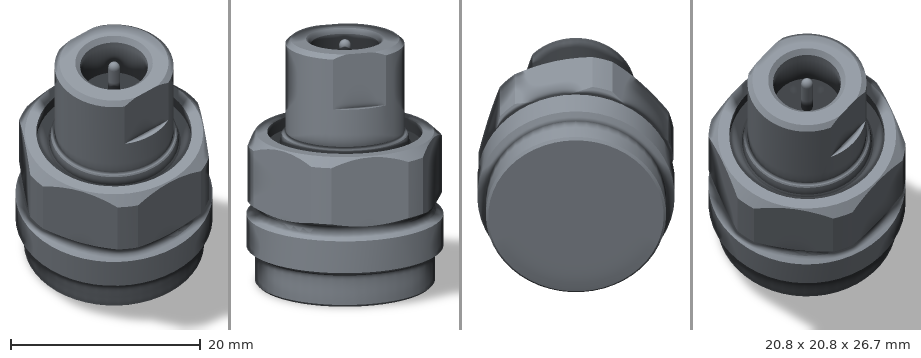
import cadquery as cq
import math


total_height = 26.7
ring_diameter = 20.8
ring_radius = ring_diameter / 2
across_flats = 19.0
sleeve_radius = across_flats / 2
cone_angle = math.radians(30)
edge_slope = math.tan(cone_angle)

base_chamfer = 0.27
ring_bottom = 4.03
ring_top = 7.53

groove_outer_radius = 9.6
groove_arc_radius = 0.53

hex_sides = 6
nut_top = 16.5
nut_top_radius = 9.4
nut_chamfer_height = 0.95
recess_radius = 8.2
recess_depth = 1.34

collar_foot_radius = 7.02
collar_foot_chamfer = 0.2
collar_top_radius = 6.68
collar_chamfer = 0.13

neck_radius = 5.87
body_radius = 6.27
body_bottom = 16.7
body_chamfer_width = 0.53
body_chamfer_height = 0.45
flat_width = 11.1
flat_bottom = 20.77

socket_radius = 3.58
socket_chamfer = 0.5
socket_depth = 4.9
pin_radius = 0.61
pin_top = 26.65

ring_cone_bottom = ring_bottom - (ring_radius - sleeve_radius) * edge_slope
groove_cone_height = (ring_radius - groove_outer_radius) * edge_slope
groove_bottom = ring_top + groove_cone_height
groove_height = 2 * groove_arc_radius * math.cos(cone_angle)
groove_top = groove_bottom + groove_height
groove_depth = groove_arc_radius * (1 - math.sin(cone_angle))
hex_bottom = groove_top + groove_cone_height

recess_floor = nut_top - recess_depth
collar_wall_radius = collar_foot_radius - collar_foot_chamfer


def cylinder(radius, bottom, top):
    return cq.Workplane("XY").workplane(offset=bottom).circle(radius).extrude(top - bottom)


def make_sleeve_and_nut():
    """Revolved lower body, with the hexagon blank still round and its recess open."""
    profile = (
        cq.Workplane("XZ")
        .moveTo(0, 0)
        .lineTo(sleeve_radius - base_chamfer, 0)
        .lineTo(sleeve_radius, base_chamfer)
        .lineTo(sleeve_radius, ring_cone_bottom)
        .lineTo(ring_radius, ring_bottom)
        .lineTo(ring_radius, ring_top)
        .lineTo(groove_outer_radius, groove_bottom)
        .threePointArc(
            (groove_outer_radius - groove_depth, groove_bottom + groove_height / 2),
            (groove_outer_radius, groove_top),
        )
        .lineTo(ring_radius, hex_bottom)
        .lineTo(ring_radius, nut_top - nut_chamfer_height)
        .lineTo(nut_top_radius, nut_top)
        .lineTo(recess_radius, nut_top)
        .lineTo(recess_radius, recess_floor)
        .lineTo(0, recess_floor)
        .close()
    )
    return profile.revolve(360, (0, 0, 0), (0, 1, 0))


def make_hexagon_trim():
    """Material outside the hexagon, whose flats face +X and -X."""
    half_side_angle = 180 / hex_sides
    corner_diameter = across_flats / math.cos(math.radians(half_side_angle))
    trim_bottom = (groove_bottom + groove_top) / 2
    hexagon = (
        cq.Workplane("XY")
        .workplane(offset=trim_bottom)
        .polygon(hex_sides, corner_diameter)
        .extrude(nut_top - trim_bottom)
        .rotate((0, 0, 0), (0, 0, 1), half_side_angle)
    )
    return cylinder(across_flats, trim_bottom, nut_top).cut(hexagon)


def make_collar_and_body():
    """Revolved tapered collar, short neck and plain body above it."""
    profile = (
        cq.Workplane("XZ")
        .moveTo(0, recess_floor)
        .lineTo(collar_foot_radius, recess_floor)
        .lineTo(collar_wall_radius, recess_floor + collar_foot_chamfer)
        .lineTo(collar_top_radius, nut_top - collar_chamfer)
        .lineTo(collar_top_radius - collar_chamfer, nut_top)
        .lineTo(neck_radius, nut_top)
        .lineTo(neck_radius, body_bottom)
        .lineTo(body_radius, body_bottom)
        .lineTo(body_radius, total_height - body_chamfer_height)
        .lineTo(body_radius - body_chamfer_width, total_height)
        .lineTo(0, total_height)
        .close()
    )
    return profile.revolve(360, (0, 0, 0), (0, 1, 0))


def make_wrench_flat(side):
    """Block beyond one wrench flat; side is -1 or +1 along X."""
    height = total_height - flat_bottom
    return (
        cq.Workplane("XY")
        .box(body_radius, 2 * body_radius, height, centered=(True, True, False))
        .translate((side * (flat_width + body_radius) / 2, 0, flat_bottom))
    )


def make_socket():
    """Blind bore with a 45 degree lead-in."""
    profile = (
        cq.Workplane("XZ")
        .moveTo(0, total_height - socket_depth)
        .lineTo(socket_radius, total_height - socket_depth)
        .lineTo(socket_radius, total_height - socket_chamfer)
        .lineTo(socket_radius + socket_chamfer, total_height)
        .lineTo(0, total_height)
        .close()
    )
    return profile.revolve(360, (0, 0, 0), (0, 1, 0))


def make_pin():
    """Contact pin with a hemispherical tip."""
    tip_center = pin_top - pin_radius
    shank = cylinder(pin_radius, recess_floor, tip_center)
    tip = cq.Workplane("XY").sphere(pin_radius).translate((0, 0, tip_center))
    return shank.union(tip)


result = make_sleeve_and_nut().cut(make_hexagon_trim())
result = result.union(make_collar_and_body())
for flat_side in (-1, 1):
    result = result.cut(make_wrench_flat(flat_side))
result = result.cut(make_socket()).union(make_pin())